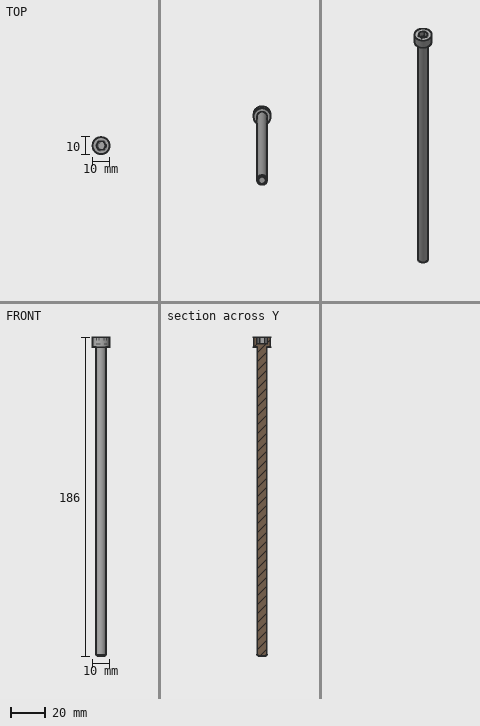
import cadquery as cq
import math

total_length = 186.0
head_diameter = 10.0
head_height = 6.0
shank_diameter = 6.0
tip_chamfer = 1.0
socket_across_flats = 5.0
socket_depth = 3.9

shank_length = total_length - head_height
socket_across_corners = socket_across_flats / math.cos(math.pi / 6)

shank = cq.Workplane("XY").circle(shank_diameter / 2).extrude(shank_length)
shank = shank.faces("<Z").chamfer(tip_chamfer)

head = cq.Workplane("XY").workplane(offset=shank_length).circle(head_diameter / 2).extrude(head_height)

socket = (
    cq.Workplane("XY")
    .workplane(offset=total_length - socket_depth)
    .polygon(6, socket_across_corners)
    .extrude(socket_depth)
)

result = shank.union(head).cut(socket)